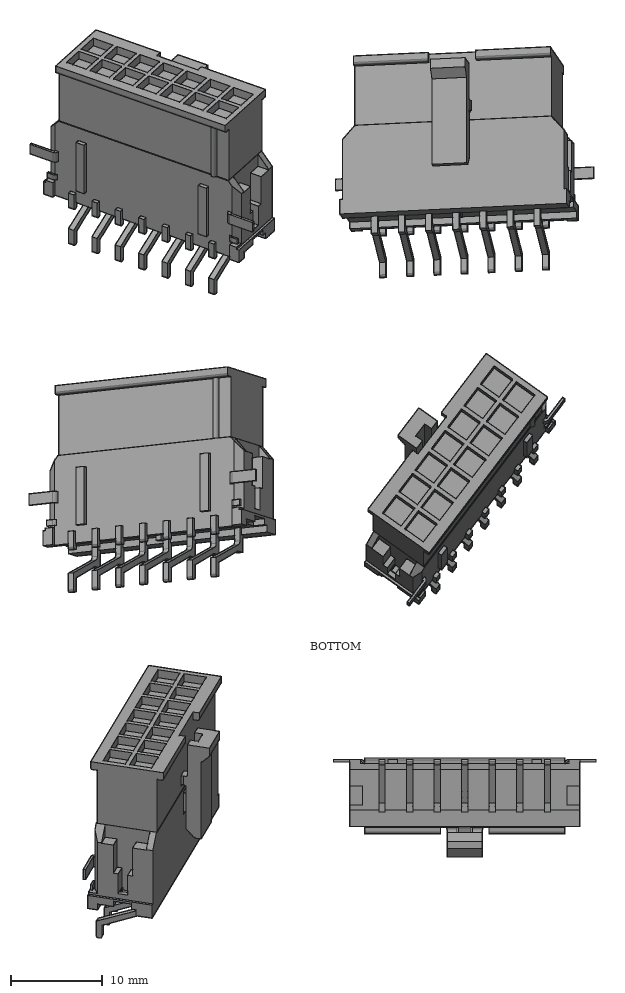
import cadquery as cq


overall_length = 28.65
overall_height = 23.05

pitch = 3.0
columns = 7
rows = 2

plug_half_length = 10.92
plug_front = -3.27
plug_back = 3.58
plug_top = 17.6
flange_front = -4.0
flange_back = 4.3
flange_height = 0.97
flange_edge_radius = 0.23
cell_size = 2.52
cell_depth = 1.0
rib_radius = 0.35
flange_notch_half_width = 2.65

latch_half_width = 1.92
latch_grip_back = 6.82
latch_back = 5.87
latch_upper_face = flange_back
latch_lower_face = 4.13
latch_top = 16.1
latch_bottom = 4.47
latch_lead_in = 1.0
grip_thickness = 1.03
bridge_top = 12.1
bridge_bottom = 10.8
bridge_arch_rise = 0.17
bridge_fillet = 0.17
bridge_flare_depth = 0.3
bridge_flare_width = 0.11
window_half_width = 0.83
window_depth_face = 5.2
window_bottom = 6.73

header_half_length = 12.3
header_front = -3.38
header_back = 3.5
header_top = 9.95
end_slope_height = 1.55
corner_bevel_x = 0.92
corner_bevel_y = 0.57
shelf_height = 8.35
shelf_front = -2.35
shelf_back = 2.75
wide_slot_front = -1.0
wide_slot_back = 1.2
wide_slot_floor = 4.78
narrow_slot_front = -0.45
narrow_slot_back = 0.63
narrow_slot_floor = 2.3
floor_pocket_width = 0.85
floor_pocket_length = 0.83
floor_pocket_depth = 0.3
slot_middle = (narrow_slot_front + narrow_slot_back) / 2

base_half_length = 12.58
base_height = 1.65
standoff = 0.75
front_foot_inner = -2.72
back_foot_inner = 1.65
foot_front = -3.85
foot_block_height = 1.92
end_notch_front = -0.92
end_notch_back = 1.15
end_notch_top = 1.4
end_notch_length = 1.43
peg_width = 0.65

front_rib_inner = 7.33
front_rib_width = 1.05
front_rib_top = 8.3
catch_half_width = 0.7
catch_tip = 4.95
catch_top = 9.37
catch_bottom = 6.95
catch_fillet = 0.5

tail_width = 0.7
tail_thickness = 0.63
tail_tip_radius = 0.23
short_tail_top = 1.3
short_tail_bottom = -0.75
long_tail_bottom = plug_top - overall_height
long_tail_back = 1.92
long_tail_heel = -1.92
long_tail_heel_length = 1.0
long_tail_inner_bend = -0.72
long_tail_bend_length = 0.32
long_tail_bend_drop = 0.5
long_tail_toe_top = -3.38
long_tail_toe_under = -3.85

strap_end = overall_length / 2
strap_bend = header_half_length - corner_bevel_x
strap_root = plug_half_length
strap_thickness = 0.3
strap_bottom = 4.67
strap_top = 5.93
tab_end = 12.23
tab_bend = 11.45
tab_root = 11.1
tab_front = -3.65
tab_thickness = 0.23
tab_bottom = 2.18
tab_top = 2.85


def block(x_range, y_range, z_range):
    """Box between the given limits."""
    (x0, x1), (y0, y1), (z0, z1) = x_range, y_range, z_range
    return cq.Workplane("XY").box(x1 - x0, y1 - y0, z1 - z0, centered=False).translate((x0, y0, z0))


def mirrored_pair(shape):
    """The shape together with its mirror image at the other end of the connector."""
    return shape.union(shape.mirror("YZ"))


def column_positions():
    return [(index - (columns - 1) / 2) * pitch for index in range(columns)]


def make_latch():
    chamfer_y = latch_lower_face + latch_lead_in
    grip_drop = latch_grip_back - latch_back
    arm = (
        cq.Workplane("YZ")
        .moveTo(latch_upper_face, latch_top)
        .lineTo(latch_grip_back, latch_top)
        .lineTo(latch_grip_back, latch_top - grip_thickness)
        .lineTo(latch_back, latch_top - grip_thickness - grip_drop)
        .lineTo(latch_back, latch_bottom)
        .lineTo(chamfer_y, latch_bottom)
        .lineTo(latch_lower_face, latch_bottom + latch_lead_in)
        .lineTo(latch_lower_face, bridge_bottom)
        .threePointArc(
            ((latch_lower_face + plug_back) / 2, bridge_bottom + bridge_arch_rise),
            (plug_back, bridge_bottom),
        )
        .lineTo(plug_back, bridge_top)
        .lineTo(latch_upper_face - bridge_fillet, bridge_top)
        .tangentArcPoint((latch_upper_face, bridge_top + bridge_fillet), relative=False)
        .close()
        .extrude(latch_half_width, both=True)
    )
    flare_bottom = bridge_bottom + bridge_arch_rise
    flare = (
        cq.Workplane("XY")
        .workplane(offset=flare_bottom)
        .moveTo(latch_half_width - bridge_flare_width, plug_back)
        .lineTo(latch_half_width + bridge_flare_width, plug_back)
        .lineTo(latch_half_width, plug_back + bridge_flare_depth)
        .lineTo(latch_half_width - bridge_flare_width, plug_back + bridge_flare_depth)
        .close()
        .extrude(bridge_top - flare_bottom)
    )
    window = block(
        (-window_half_width, window_half_width), (plug_back, window_depth_face), (window_bottom, latch_top)
    )
    return arm.union(mirrored_pair(flare)).cut(window)


def make_plug():
    length = (-plug_half_length, plug_half_length)
    flange_bottom = plug_top - flange_height
    core = block(length, (plug_front, plug_back), (header_top, plug_top))
    flange = block(length, (flange_front, flange_back), (flange_bottom, plug_top))
    flange = flange.edges("|X and <Z").fillet(flange_edge_radius)
    flange_notch = block(
        (-flange_notch_half_width, flange_notch_half_width),
        (plug_back, flange_back),
        (flange_bottom, plug_top),
    )
    polarizing_rib = (
        cq.Workplane("XY")
        .workplane(offset=header_top)
        .center(column_positions()[-1], plug_front)
        .circle(rib_radius)
        .extrude(flange_bottom - header_top)
    )
    cells = (
        cq.Workplane("XY")
        .workplane(offset=plug_top - cell_depth)
        .rarray(pitch, pitch, columns, rows)
        .rect(cell_size, cell_size)
        .extrude(cell_depth)
    )
    return core.union(flange).cut(flange_notch).union(polarizing_rib).cut(cells).union(make_latch())


def make_header_shell():
    """Main block with bevelled front corners, sloped ends and stepped slots in the ends."""
    slope_bottom = header_top - end_slope_height
    shell = (
        cq.Workplane("XZ")
        .polyline([
            (-header_half_length, 0),
            (header_half_length, 0),
            (header_half_length, slope_bottom),
            (plug_half_length, header_top),
            (-plug_half_length, header_top),
            (-header_half_length, slope_bottom),
        ])
        .close()
        .extrude(header_back - header_front)
        .translate((0, header_back, 0))
    )
    corner_bevel = (
        cq.Workplane("XY")
        .polyline([
            (-header_half_length, header_front),
            (-header_half_length + corner_bevel_x, header_front),
            (-header_half_length, header_front + corner_bevel_y),
        ])
        .close()
        .extrude(header_top)
    )
    end = (-header_half_length, -plug_half_length)
    shelf = block(end, (shelf_front, shelf_back), (shelf_height, header_top))
    wide_slot = block(end, (wide_slot_front, wide_slot_back), (wide_slot_floor, header_top))
    narrow_slot = block(end, (narrow_slot_front, narrow_slot_back), (narrow_slot_floor, header_top))
    floor_pocket = block(
        (-plug_half_length - floor_pocket_length, -plug_half_length),
        (slot_middle - floor_pocket_width / 2, slot_middle + floor_pocket_width / 2),
        (narrow_slot_floor - floor_pocket_depth, narrow_slot_floor),
    )
    for cutter in (corner_bevel, shelf, wide_slot, narrow_slot, floor_pocket):
        shell = shell.cut(mirrored_pair(cutter))
    return shell


def add_base(shell):
    """Wider base with front corner blocks, raised on feet that run along both long sides."""
    length = (-base_half_length, base_half_length)
    bevel_start = header_half_length - corner_bevel_x
    base = block(length, (header_front, header_back), (0, base_height))
    low_block = block((-base_half_length, -bevel_start), (foot_front, front_foot_inner), (0, base_height))
    high_block = block(
        (-header_half_length, -bevel_start), (foot_front, front_foot_inner), (0, foot_block_height)
    )
    corner = low_block.union(high_block)
    underside = block(length, (front_foot_inner, back_foot_inner), (0, standoff))
    end_notch = block(
        (-base_half_length, -base_half_length + end_notch_length),
        (end_notch_front, end_notch_back),
        (standoff, end_notch_top),
    )
    peg = cq.Workplane("XY").rect(peg_width, peg_width).extrude(standoff)
    raised = shell.union(base).union(mirrored_pair(corner)).cut(underside)
    return raised.cut(mirrored_pair(end_notch)).union(peg)


def make_catch():
    """Ramp behind which the latch arm snaps."""
    catch_reach = catch_tip - header_back
    arc_corner = header_back + catch_fillet
    arc_offset = catch_fillet * (1 - 0.5 ** 0.5)
    return (
        cq.Workplane("YZ")
        .moveTo(header_back, catch_top)
        .lineTo(catch_tip, catch_top - catch_reach)
        .lineTo(catch_tip, catch_bottom)
        .lineTo(arc_corner, catch_bottom)
        .threePointArc(
            (header_back + arc_offset, catch_bottom - arc_offset),
            (header_back, catch_bottom - catch_fillet),
        )
        .close()
        .extrude(catch_half_width, both=True)
    )


def make_front_rib():
    return block(
        (-front_rib_inner - front_rib_width, -front_rib_inner),
        (foot_front, header_front),
        (foot_block_height, front_rib_top),
    )


def make_bent_strip(end, bend, root, front, thickness, bottom, top):
    """Flat strip that lies in front of the header wall and curves back into it."""
    return (
        cq.Workplane("XY")
        .workplane(offset=bottom)
        .moveTo(-end, front)
        .lineTo(-bend, front)
        .tangentArcPoint((-root, header_front), relative=False)
        .lineTo(-strap_bend, header_front)
        .lineTo(-strap_bend, front + thickness)
        .lineTo(-end, front + thickness)
        .close()
        .extrude(top - bottom)
    )


def round_tip(tail):
    """Tail with both edges across its lower end rounded."""
    return tail.edges("|X and <Z").fillet(tail_tip_radius)


def make_tails(x):
    """Short straight tail on the front wall and long tail bent forward from the back row."""
    tail_back = foot_front + tail_thickness
    left = x - tail_width / 2
    right = x + tail_width / 2
    short_tail = block((left, right), (foot_front, tail_back), (short_tail_bottom, short_tail_top))
    inner = long_tail_back - tail_thickness
    bend_end = (inner - long_tail_bend_length, long_tail_inner_bend - long_tail_bend_drop)
    long_tail = (
        cq.Workplane("YZ")
        .workplane(offset=left)
        .moveTo(long_tail_back, standoff)
        .lineTo(inner, standoff)
        .lineTo(inner, long_tail_inner_bend)
        .tangentArcPoint(bend_end, relative=False)
        .lineTo(foot_front, long_tail_toe_top)
        .lineTo(foot_front, long_tail_bottom)
        .lineTo(tail_back, long_tail_bottom)
        .lineTo(tail_back, long_tail_toe_under)
        .lineTo(long_tail_back - long_tail_heel_length, long_tail_heel)
        .lineTo(long_tail_back, long_tail_heel)
        .close()
        .extrude(tail_width)
    )
    return round_tip(short_tail).union(round_tip(long_tail))


def make_header():
    header = add_base(make_header_shell()).union(make_catch())
    strap = make_bent_strip(
        strap_end, strap_bend, strap_root, foot_front, strap_thickness, strap_bottom, strap_top
    )
    tab = make_bent_strip(tab_end, tab_bend, tab_root, tab_front, tab_thickness, tab_bottom, tab_top)
    for detail in (make_front_rib(), strap, tab):
        header = header.union(mirrored_pair(detail))
    for x in column_positions():
        header = header.union(make_tails(x))
    return header


plug = make_plug()
header = make_header()
result = cq.Compound.makeCompound([plug.solids().val(), header.solids().val()])